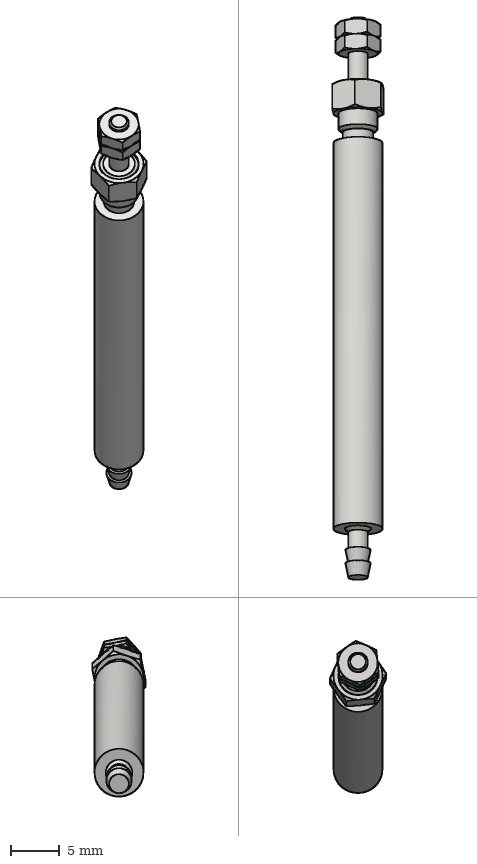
import cadquery as cq
import math

TOTAL_LENGTH = 59.0
BARREL_BOTTOM = 5.15
BARREL_TOP = 45.9
NECK_TOP = 47.0
MOUNT_NUT_BOTTOM = 49.0
MOUNT_NUT_TOP = 52.05
ROD_NUT_TOP = 58.5

BARREL_DIAMETER = 5.0
NECK_DIAMETER = 3.1
THREAD_DIAMETER = 4.0
THREAD_END_DIAMETER = 3.25
THREAD_END_CHAMFER_HEIGHT = 0.25
THREAD_BOTTOM_CHAMFER = 0.35
ROD_SOCKET_DEPTH = 6.15

STEM_DIAMETER = 2.0
BARB_DIAMETER = 2.6
BARB_TOPS = (2.9, 1.5)
STEM_ROOT_DIAMETER = 2.7
STEM_ROOT_HEIGHT = 0.35

ROD_DIAMETER = 2.0
ROD_TIP_DIAMETER = 1.6
ROD_CHAMFER = (ROD_DIAMETER - ROD_TIP_DIAMETER) / 2

MOUNT_NUT_FLATS = 5.0
ROD_NUT_FLATS = 4.0
ROD_NUT_HEIGHT = 1.6
ROD_NUT_COUNT = 2
NUT_CHAMFER_ANGLE = 30.0


def make_barrel():
    """Turned barrel: barb, stem, cylinder, neck and threaded nose, with a socket for the rod."""
    stem_radius = STEM_DIAMETER / 2
    barb_radius = BARB_DIAMETER / 2
    barrel_radius = BARREL_DIAMETER / 2
    neck_radius = NECK_DIAMETER / 2
    thread_radius = THREAD_DIAMETER / 2
    upper_barb_top, lower_barb_top = BARB_TOPS
    profile = [
        (0, 0),
        (stem_radius, 0),
        (barb_radius, lower_barb_top),
        (stem_radius, lower_barb_top),
        (barb_radius, upper_barb_top),
        (stem_radius, upper_barb_top),
        (stem_radius, BARREL_BOTTOM - STEM_ROOT_HEIGHT),
        (STEM_ROOT_DIAMETER / 2, BARREL_BOTTOM),
        (barrel_radius, BARREL_BOTTOM),
        (barrel_radius, BARREL_TOP),
        (neck_radius, BARREL_TOP),
        (neck_radius, NECK_TOP),
        (thread_radius - THREAD_BOTTOM_CHAMFER, NECK_TOP),
        (thread_radius, NECK_TOP + THREAD_BOTTOM_CHAMFER),
        (thread_radius, MOUNT_NUT_TOP - THREAD_END_CHAMFER_HEIGHT),
        (THREAD_END_DIAMETER / 2, MOUNT_NUT_TOP),
        (0, MOUNT_NUT_TOP),
    ]
    body = cq.Workplane("XZ").polyline(profile).close().revolve(360, (0, 0), (0, 1))
    socket = (
        cq.Workplane("XY", origin=(0, 0, MOUNT_NUT_TOP - ROD_SOCKET_DEPTH))
        .circle(ROD_DIAMETER / 2)
        .extrude(ROD_SOCKET_DEPTH)
    )
    return body.cut(socket)


def make_rod():
    """Piston rod standing on the socket floor, chamfered at its free end."""
    rod_bottom = MOUNT_NUT_TOP - ROD_SOCKET_DEPTH
    return (
        cq.Workplane("XY", origin=(0, 0, rod_bottom))
        .circle(ROD_DIAMETER / 2)
        .extrude(TOTAL_LENGTH - rod_bottom)
        .faces(">Z")
        .chamfer(ROD_CHAMFER)
    )


def make_nut(flats, height, bore, bottom, turn):
    """Hexagon nut with conically chamfered corners; a turn of 0 puts two corners on the X axis."""
    corner_radius = flats / math.sqrt(3)
    flat_radius = flats / 2
    corner_drop = (corner_radius - flat_radius) * math.tan(math.radians(NUT_CHAMFER_ANGLE))
    envelope = (
        cq.Workplane("XZ")
        .polyline([
            (0, 0),
            (flat_radius, 0),
            (corner_radius, corner_drop),
            (corner_radius, height - corner_drop),
            (flat_radius, height),
            (0, height),
        ])
        .close()
        .revolve(360, (0, 0), (0, 1))
    )
    hexagon = cq.Workplane("XY").polygon(6, 2 * corner_radius).circle(bore / 2).extrude(height)
    nut = hexagon.intersect(envelope)
    return nut.rotate((0, 0, 0), (0, 0, 1), turn).translate((0, 0, bottom))


barrel = make_barrel()
rod = make_rod()
mount_nut = make_nut(
    MOUNT_NUT_FLATS, MOUNT_NUT_TOP - MOUNT_NUT_BOTTOM, THREAD_DIAMETER, MOUNT_NUT_BOTTOM, turn=0
)
rod_nuts = [
    make_nut(
        ROD_NUT_FLATS, ROD_NUT_HEIGHT, ROD_DIAMETER, ROD_NUT_TOP - (index + 1) * ROD_NUT_HEIGHT, turn=30
    )
    for index in range(ROD_NUT_COUNT)
]

result = cq.Compound.makeCompound(
    [barrel.val(), rod.val(), mount_nut.val(), *[nut.val() for nut in rod_nuts]]
)